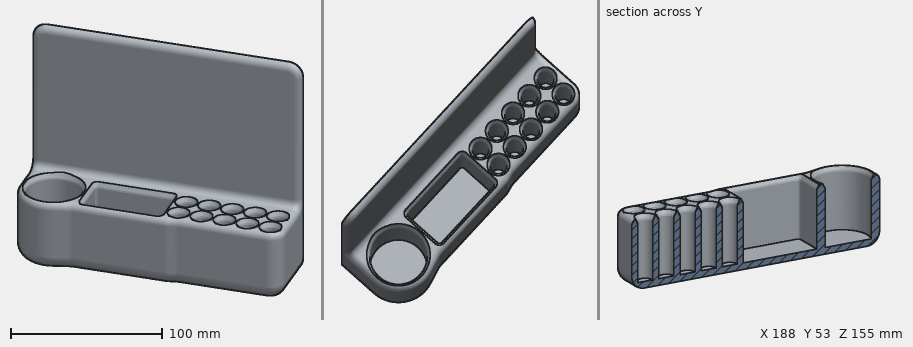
import cadquery as cq
import math


width = 188.0
height = 155.0
plate_thickness = 5.0
plate_corner_radius = 10.0

tray_height = 50.0
wall = 5.0
floor = 5.0
underside_fillet = 10.0
rim_fillet = plate_thickness - 0.01
junction_fillet = 5.0
row_depth = 29.0

cup_radius = 19.0
cup_outer_radius = cup_radius + wall
cup_x = cup_outer_radius

pocket_length = 55.0
pocket_width = 30.0
pocket_left = cup_x + cup_outer_radius
pocket_x = pocket_left + pocket_length / 2
pocket_corner_radius = 2.0
pocket_front = row_depth + pocket_width / 2 + wall

hole_diameter = 11.0
hole_pitch = 16.0
holes_per_row = 5
hole_rows = 2
end_corner_radius = hole_diameter / 2 + wall
last_hole_x = width - end_corner_radius
front_hole_depth = row_depth + hole_pitch / 2

flare_width = 2.0
upper_flare_angle = 30.0
lower_flare_angle = upper_flare_angle / 2
ease_length = 0.6
flare_overrun = 2.0
knee_height = tray_height - flare_width / math.tan(math.radians(upper_flare_angle))
lower_flare_base = knee_height - ease_length
upper_flare_base = knee_height + ease_length * math.cos(math.radians(upper_flare_angle))
lower_flare_height = upper_flare_base - lower_flare_base
lower_flare_offset = ease_length * math.sin(math.radians(upper_flare_angle))

cup_slope_angle = math.radians(15)
blend_radius = 10.0
holes_front = front_hole_depth + end_corner_radius
step_start = 108.8
step_end = 115.2


def on_cup(angle):
    """Point of the cup's outer wall, with the angle measured from the -Y direction."""
    return (
        cup_x + cup_outer_radius * math.sin(angle),
        -row_depth - cup_outer_radius * math.cos(angle),
    )


def nearest(x, y, z):
    return cq.selectors.NearestToPointSelector((x, y, z))


def make_tray():
    tangent_x, tangent_y = on_cup(cup_slope_angle)
    slope_end = tangent_x + (-pocket_front - tangent_y) / math.tan(cup_slope_angle)
    leftmost_angle = -math.pi / 2
    arc_middle = (leftmost_angle + cup_slope_angle) / 2
    tray = (
        cq.Workplane("XY")
        .moveTo(0, 0)
        .lineTo(0, -row_depth)
        .threePointArc(on_cup(arc_middle), (tangent_x, tangent_y))
        .lineTo(slope_end, -pocket_front)
        .lineTo(step_start, -pocket_front)
        .lineTo(step_end, -holes_front)
        .lineTo(width, -holes_front)
        .lineTo(width, 0)
        .close()
        .extrude(tray_height)
    )
    for x, y in [
        (slope_end, -pocket_front),
        (step_start, -pocket_front),
        (step_end, -holes_front),
    ]:
        tray = tray.edges(nearest(x, y, tray_height / 2)).fillet(blend_radius)
    end_corner = nearest(width, -holes_front, tray_height / 2)
    return tray.edges(end_corner).fillet(end_corner_radius)


def make_plate():
    return (
        cq.Workplane("XY")
        .box(width, plate_thickness, height, centered=False)
        .translate((0, -plate_thickness, 0))
        .edges("|Y and >Z")
        .fillet(plate_corner_radius)
    )


def make_body():
    body = make_tray().union(make_plate())
    body = body.faces("<Z").edges("not >Y").fillet(underside_fillet)
    inner_corner = nearest(width / 2, -plate_thickness, tray_height)
    body = body.edges(inner_corner).fillet(junction_fillet)
    rim_edge = nearest(width / 2, -plate_thickness, height)
    return body.edges(rim_edge).fillet(rim_fillet)


def make_cutter(x, depth, section):
    """Opening cut straight up from the floor, then flared in two steps.

    section(offset) gives the opening's outline grown outward by offset. The upper
    flare runs on above the tray top to clear the curved surfaces beside it.
    """

    def segment(base, length, offset, taper=0):
        plane = cq.Workplane("XY", origin=(x, -depth, base))
        return plane.placeSketch(section(offset)).extrude(length, taper=taper)

    straight = segment(floor, lower_flare_base - floor, 0)
    lower_flare = segment(lower_flare_base, lower_flare_height, 0, -lower_flare_angle)
    upper_flare = segment(
        upper_flare_base,
        tray_height + flare_overrun - upper_flare_base,
        lower_flare_offset,
        -upper_flare_angle,
    )
    return straight.union(lower_flare).union(upper_flare)


def round_section(radius):
    return lambda offset: cq.Sketch().circle(radius + offset)


def pocket_section(offset):
    outline = cq.Sketch().rect(pocket_length + 2 * offset, pocket_width + 2 * offset)
    return outline.vertices().fillet(pocket_corner_radius + offset)


def cut_openings(body):
    body = body.cut(make_cutter(cup_x, row_depth, round_section(cup_radius)))
    body = body.cut(make_cutter(pocket_x, row_depth, pocket_section))
    for row in range(hole_rows):
        for column in range(holes_per_row):
            x = last_hole_x - column * hole_pitch
            depth = front_hole_depth - row * hole_pitch
            body = body.cut(make_cutter(x, depth, round_section(hole_diameter / 2)))
    return body


result = cut_openings(make_body())